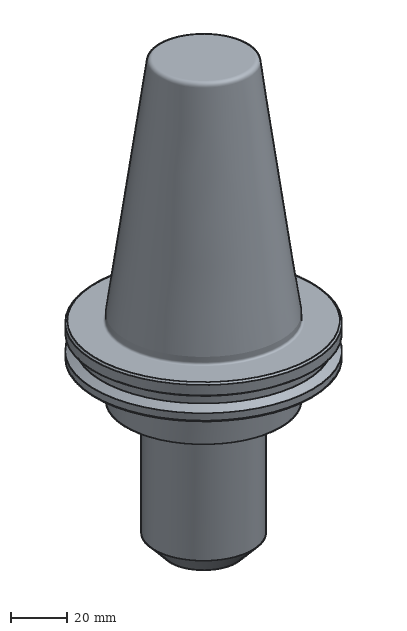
import cadquery as cq
import math

total_height = 196.8
taper_length = 101.5
gauge_height = total_height - taper_length
flange_top = 92.1
flange_bottom = 76.4
collar_bottom = 60.5

gauge_radius = 34.8
taper_ratio = 7 / 24
taper_end_radius = gauge_radius - taper_length * taper_ratio / 2
flange_radius = 98.5 / 2
shank_radius = 22.2

groove_radius = 91.3 / 2
groove_middle = 83.7
groove_floor_width = 3.0
groove_mouth_width = 7.0

taper_end_fillet = 2.0
flange_chamfer = 0.8
collar_fillet = 3.1
neck_fillet = 1.0
tip_chamfer = 7.7


def cylinder(radius, bottom, top):
    """Cylinder on the Z axis between two heights."""
    return cq.Workplane("XY").workplane(offset=bottom).circle(radius).extrude(top - bottom)


def make_taper():
    """Conical shank of the tool holder with a rounded small end."""
    cone = (
        cq.Workplane("XZ")
        .moveTo(0, gauge_height)
        .lineTo(gauge_radius, gauge_height)
        .lineTo(taper_end_radius, total_height)
        .lineTo(0, total_height)
        .close()
        .revolve(360, (0, 0, 0), (0, 1, 0))
    )
    return cone.faces(">Z").edges().fillet(taper_end_fillet)


def make_flange():
    """Flange with chamfered rims and a V-groove around its middle."""
    flange = cylinder(flange_radius, flange_bottom, flange_top)
    flange = flange.faces("<Z or >Z").edges().chamfer(flange_chamfer)
    groove = (
        cq.Workplane("XZ")
        .moveTo(flange_radius, groove_middle - groove_mouth_width / 2)
        .lineTo(groove_radius, groove_middle - groove_floor_width / 2)
        .lineTo(groove_radius, groove_middle + groove_floor_width / 2)
        .lineTo(flange_radius, groove_middle + groove_mouth_width / 2)
        .close()
        .revolve(360, (0, 0, 0), (0, 1, 0))
    )
    return flange.cut(groove)


def make_flared_cylinder(free_end, flange_face, flare_radius):
    """Gauge-diameter cylinder that meets a flange face with a concave fillet."""
    toward_flange = math.copysign(1, flange_face - free_end)
    flare_start = flange_face - toward_flange * flare_radius
    flare_outer_radius = gauge_radius + flare_radius
    arc_reach = flare_radius * math.sqrt(0.5)
    return (
        cq.Workplane("XZ")
        .moveTo(0, free_end)
        .lineTo(gauge_radius, free_end)
        .lineTo(gauge_radius, flare_start)
        .threePointArc(
            (flare_outer_radius - arc_reach, flare_start + toward_flange * arc_reach),
            (flare_outer_radius, flange_face),
        )
        .lineTo(0, flange_face)
        .close()
        .revolve(360, (0, 0, 0), (0, 1, 0))
    )


def make_shank():
    """Plain cylindrical shank with a chamfered tip."""
    return cylinder(shank_radius, 0, collar_bottom).faces("<Z").edges().chamfer(tip_chamfer)


collar = make_flared_cylinder(collar_bottom, flange_bottom, collar_fillet)
neck = make_flared_cylinder(gauge_height, flange_top, neck_fillet)
result = make_shank().union(collar).union(make_flange()).union(neck).union(make_taper())